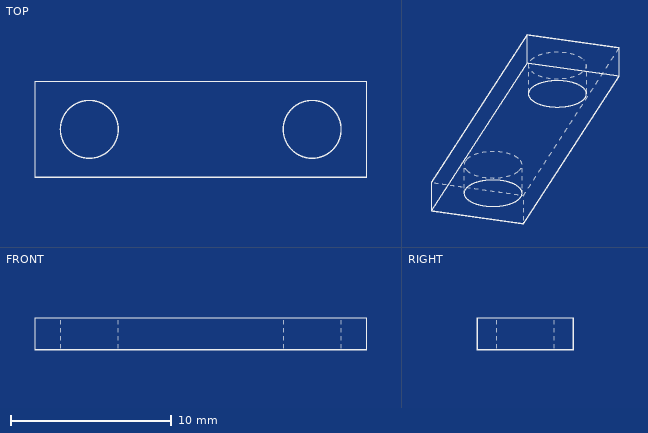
import cadquery as cq

length = 20.7
width = 6.0
thickness = 2.0

hole_diameter = 3.6
hole_spacing = 13.9


def plate():
    """Plain rectangular plate centred on the origin."""
    return cq.Workplane("XY").box(length, width, thickness)


def drill_holes(body):
    """Cut the pair of through holes, placed symmetrically about the middle."""
    centres = [(-hole_spacing / 2, 0), (hole_spacing / 2, 0)]
    return body.faces(">Z").workplane().pushPoints(centres).hole(hole_diameter)


result = drill_holes(plate())